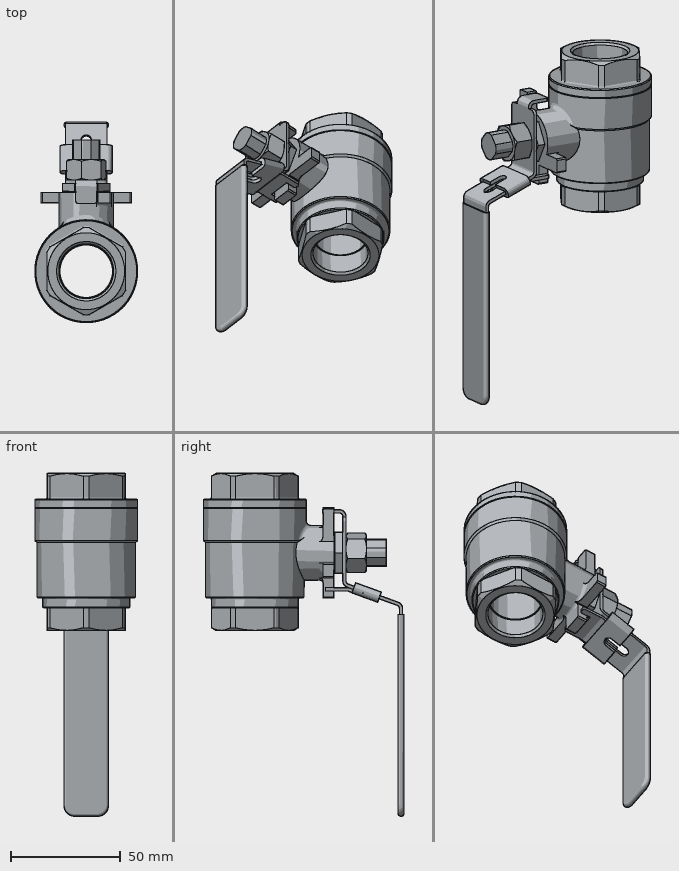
import cadquery as cq
import math


top_z = 36.3
bottom_z = -35.5
hex_flats = 35.7
hex_corner_dia = 39.8
hex_end_dia = 35.0
hex_end_slope = 30
flange_dia = 47
flange_top_z = 24.5
flange_bottom_z = 5.6
barrel_dia = 45.0
barrel_bottom_z = -20.5
collar_dia = hex_corner_dia
collar_bottom_z = -25.2
seam_z = 20.5
seam_width = 0.5
seam_depth = 0.3
edge_break = 0.5
foot_fillet = 0.8
hex_root_fillet = 0.6
bore_dia = 24.0
socket_dia = 25
socket_depth = 11.3
socket_mouth_dia = 27.0

neck_dia = 25
neck_end_y = 36
neck_blend = 2.0
lug_thickness = 4.9
lug_reach = 20.7
lug_near = 4.7
lug_far = 11.5
lower_lug_width = 9.7
lug_end_bevel = 0.6
lug_root_fillet = 1.5
seat_depth = 7.8
tolerance = 0.02

sheet = 1.5
stem_dia = 12.5
stem_flats = 11.5
stem_end_y = 60.0
gland_gap = 0.5
gland_spigot_dia = 15.6
gland_flats = 18.8
lever_back_y = 40.0
lever_front_y = lever_back_y + sheet
nut_end_y = 50.9
nut_corner_dia = 18.6
nut_turn = 43.5
nut_face_dia = 16.3
nut_bevel = 0.7

lever_width = 19.1
bend_radius = 2.3
arm_slope = 20
hook_width = 9.7
hook_tip_y = 30.8
hook_z = 19.0
hook_tip_radius = 1.4
shoulder_z = 16.3
shoulder_radius = 2.0
plate_y = lever_back_y + sheet / 2
plate_end_z = -14.4
handle_y = 66.7
grip_wall = 0.6
grip_width = lever_width + 2 * grip_wall
grip_thickness = sheet + 2 * grip_wall
grip_top_z = -28.0
grip_bottom_z = top_z - 156.5
grip_corner_radius = 5.0
slot_width = 4.7
slot_length = 12.5
slot_end = 22.4

slide_thickness = 5.0
slide_width = 24.0
slide_length = 12.5
slide_start = 4.5
fork_width = 16.0
fork_gap = 10.3
fork_root_y = 37.5
tongue_tip_y = 32.2
tongue_tip_radius = 0.8

arm_dir = (math.cos(math.radians(arm_slope)), -math.sin(math.radians(arm_slope)))


def along_arm(distance, below=0):
    """Point (y, z) on the arm's middle line, measured from the bend; `below` steps off its underside."""
    y = plate_y + distance * arm_dir[0] + below * arm_dir[1]
    z = plate_end_z + distance * arm_dir[1] - below * arm_dir[0]
    return y, z


def cylinder_y(dia, y0, y1):
    return cq.Workplane("XZ", origin=(0, y0, 0)).circle(dia / 2).extrude(y0 - y1)


def hexagon_y(corner_dia, turn, y0, y1):
    """Hexagonal prism along Y; `turn` is the angle of one corner from +X towards +Z."""
    prism = cq.Workplane("XZ", origin=(0, y0, 0)).polygon(6, corner_dia).extrude(y0 - y1)
    return prism.rotate((0, 0, 0), (0, 1, 0), -turn)


def pipe_hexagon(inner_z, end_z):
    """Hexagonal pipe end with turned corners and a bevelled outer end."""
    outward = 1 if end_z > inner_z else -1
    height = abs(end_z - inner_z)
    bevel_run = (hex_corner_dia - hex_end_dia) / 2
    bevel_z = end_z - outward * bevel_run * math.tan(math.radians(hex_end_slope))
    envelope = (
        cq.Workplane("XZ")
        .moveTo(0, inner_z)
        .lineTo(hex_corner_dia / 2, inner_z)
        .lineTo(hex_corner_dia / 2, bevel_z)
        .lineTo(hex_end_dia / 2, end_z)
        .lineTo(0, end_z)
        .close()
        .revolve(360, (0, 0, 0), (0, 1, 0))
    )
    prism = (
        cq.Workplane("XY", origin=(0, 0, inner_z))
        .polygon(6, hex_flats / math.cos(math.radians(30)))
        .extrude(outward * height)
        .rotate((0, 0, 0), (0, 0, 1), 30)
    )
    return prism.intersect(envelope)


def barrel():
    """Turned flange, barrel and collar."""
    flange_r = flange_dia / 2
    barrel_r = barrel_dia / 2
    collar_r = collar_dia / 2
    return (
        cq.Workplane("XZ")
        .moveTo(0, flange_top_z)
        .lineTo(flange_r - edge_break, flange_top_z)
        .lineTo(flange_r, flange_top_z - edge_break)
        .lineTo(flange_r, seam_z + seam_width / 2)
        .lineTo(flange_r - seam_depth, seam_z)
        .lineTo(flange_r, seam_z - seam_width / 2)
        .lineTo(flange_r, flange_bottom_z)
        .lineTo(barrel_r, flange_bottom_z - (flange_r - barrel_r))
        .lineTo(barrel_r, barrel_bottom_z + edge_break)
        .lineTo(barrel_r - edge_break, barrel_bottom_z)
        .lineTo(collar_r + foot_fillet, barrel_bottom_z)
        .tangentArcPoint((collar_r, barrel_bottom_z - foot_fillet), relative=False)
        .lineTo(collar_r, collar_bottom_z + edge_break)
        .lineTo(collar_r - edge_break, collar_bottom_z)
        .lineTo(0, collar_bottom_z)
        .close()
        .revolve(360, (0, 0, 0), (0, 1, 0))
    )


def lug(width, offset, turn):
    """Stop lug on the neck, offset sideways and turned about the stem axis from the +Z position."""
    block = (
        cq.Workplane("XY")
        .box(width, lug_thickness, lug_reach, centered=(True, False, False))
        .edges("|Y and >Z")
        .chamfer(lug_end_bevel)
        .translate((offset, neck_end_y - lug_thickness, 0))
    )
    return block.rotate((0, 0, 0), (0, 1, 0), turn)


def bores():
    """Through bore with a wider socket and a bevelled mouth at each end."""
    mouth = (socket_mouth_dia - socket_dia) / 2
    cut = cq.Workplane("XY", origin=(0, 0, bottom_z)).circle(bore_dia / 2).extrude(top_z - bottom_z)
    for end_z, inward in ((top_z, -1), (bottom_z, 1)):
        socket = (
            cq.Workplane("XZ")
            .moveTo(0, end_z)
            .lineTo(socket_mouth_dia / 2, end_z)
            .lineTo(socket_dia / 2, end_z + inward * mouth)
            .lineTo(socket_dia / 2, end_z + inward * socket_depth)
            .lineTo(0, end_z + inward * socket_depth)
            .close()
            .revolve(360, (0, 0, 0), (0, 1, 0))
        )
        cut = cut.union(socket)
    return cut


def is_lug_root(edge):
    """True for the edges where the inner faces of the lugs meet the neck."""
    return edge.geomType() == "CIRCLE" and abs(edge.Center().y - (neck_end_y - lug_thickness)) < tolerance


def is_neck_root(edge):
    """True for the curve where the neck runs into the flange."""
    return edge.geomType() not in ("LINE", "CIRCLE") and edge.Center().z > flange_bottom_z


def is_hex_root(edge):
    """True for the edges around the foot of the upper hexagon, on top of the flange."""
    box = edge.BoundingBox()
    on_flange_top = abs(box.zmin - flange_top_z) < tolerance and box.zlen < tolerance
    return on_flange_top and max(box.xlen, box.ylen) < hex_flats


def make_housing():
    body = barrel().union(cylinder_y(neck_dia, 0, neck_end_y))
    neck_roots = [edge for edge in body.edges().vals() if is_neck_root(edge)]
    body = body.newObject(neck_roots).fillet(neck_blend)
    side_width = lug_far - lug_near
    side_offset = (lug_near + lug_far) / 2
    left_lug = lug(side_width, side_offset, -90)
    lugs = (
        lug(side_width, side_offset, 0),
        lug(lower_lug_width, 0, 180),
        left_lug.mirror("XY"),
        left_lug.mirror("XY").mirror("YZ"),
    )
    for stop in lugs:
        body = body.union(stop)
    lug_roots = [edge for edge in body.edges().vals() if is_lug_root(edge)]
    body = body.newObject(lug_roots).fillet(lug_root_fillet)
    for inner_z, end_z in ((flange_top_z, top_z), (collar_bottom_z, bottom_z)):
        body = body.union(pipe_hexagon(inner_z, end_z))
    hex_roots = [edge for edge in body.edges().vals() if is_hex_root(edge)]
    body = body.newObject(hex_roots).fillet(hex_root_fillet)
    return body.cut(bores()).cut(cylinder_y(stem_dia, neck_end_y - seat_depth, neck_end_y))


def make_stem():
    """Stem with its gland below the lever and its nut above it."""
    stem = cylinder_y(stem_dia, neck_end_y - seat_depth, nut_end_y)
    square = (
        cq.Workplane("XZ", origin=(0, nut_end_y, 0))
        .rect(stem_flats, stem_flats)
        .extrude(nut_end_y - stem_end_y)
        .rotate((0, 0, 0), (0, 1, 0), 45)
        .intersect(cylinder_y(stem_dia, nut_end_y, stem_end_y))
    )
    spigot = cylinder_y(gland_spigot_dia, neck_end_y, neck_end_y + gland_gap)
    gland = hexagon_y(gland_flats / math.cos(math.radians(30)), 0, neck_end_y + gland_gap, lever_back_y)
    nut_round = cylinder_y(nut_corner_dia, lever_front_y, nut_end_y).faces("<Y or >Y").chamfer(
        nut_bevel, (nut_corner_dia - nut_face_dia) / 2
    )
    nut = hexagon_y(nut_corner_dia, nut_turn, lever_front_y, nut_end_y).intersect(nut_round)
    return stem.union(square).union(spigot).union(gland).union(nut)


def bent_strip(corners, width):
    """Sheet strip of the given width that follows (y, z) corners with rounded bends."""
    path = cq.Workplane("YZ").moveTo(*corners[0])
    for before, corner, after in zip(corners, corners[1:], corners[2:]):
        to_before = cq.Vector(*before).sub(cq.Vector(*corner)).normalized()
        to_after = cq.Vector(*after).sub(cq.Vector(*corner)).normalized()
        setback = bend_radius / math.tan(to_before.getAngle(to_after) / 2)
        start = cq.Vector(*corner).add(to_before.multiply(setback))
        end = cq.Vector(*corner).add(to_after.multiply(setback))
        path = path.lineTo(start.x, start.y).tangentArcPoint((end.x, end.y), relative=False)
    path = path.lineTo(*corners[-1])
    section = cq.Workplane("XZ", origin=(0, *corners[0])).rect(width, sheet)
    return section.sweep(path)


def across_arm(distance, below=0):
    """Work plane square to the arm, with local x along X, at a distance along the arm."""
    y, z = along_arm(distance, below)
    return cq.Workplane(cq.Plane(origin=(0, y, z), xDir=(1, 0, 0), normal=(0, *arm_dir)))


def arm_slot():
    """Round-ended padlock slot along the arm, square through it."""
    y, z = along_arm(slot_end - slot_length / 2)
    plane = cq.Plane(origin=(0, y, z), xDir=(0, *arm_dir), normal=(0, -arm_dir[1], arm_dir[0]))
    return cq.Workplane(plane).slot2D(slot_length, slot_width).extrude(slide_thickness, both=True)


def grip():
    """Flat grip whose sides and lower end are fully rounded."""
    edge_radius = grip_thickness / 2
    bend = grip_corner_radius - edge_radius
    side_x = grip_width / 2 - edge_radius
    low_z = grip_bottom_z + edge_radius
    rim_path = (
        cq.Workplane("XZ", origin=(0, handle_y, 0))
        .moveTo(-side_x, grip_top_z)
        .lineTo(-side_x, low_z + bend)
        .tangentArcPoint((bend - side_x, low_z), relative=False)
        .lineTo(side_x - bend, low_z)
        .tangentArcPoint((side_x, low_z + bend), relative=False)
        .lineTo(side_x, grip_top_z)
    )
    rim = cq.Workplane("XY", origin=(-side_x, handle_y, grip_top_z)).circle(edge_radius).sweep(rim_path)
    core = (
        cq.Workplane("XY", origin=(0, handle_y, low_z))
        .box(2 * side_x, grip_thickness, grip_top_z - low_z, centered=(True, True, False))
        .edges("|Y and <Z")
        .fillet(bend)
    )
    return core.union(rim)


def make_lever():
    """Sheet lever: hook over the neck, clamped plate, sloping arm and handle with a thick grip."""
    arm_length = (handle_y - plate_y) / arm_dir[0]
    corners = [
        (hook_tip_y, hook_z),
        (plate_y, hook_z),
        (plate_y, plate_end_z),
        along_arm(arm_length),
        (handle_y, grip_top_z),
    ]
    lever = bent_strip(corners, lever_width)
    for side in (-1, 1):
        beside_hook = cq.Workplane("XY").box(
            (lever_width - hook_width) / 2, lever_front_y - hook_tip_y, hook_z + sheet - shoulder_z,
            centered=(True, False, False),
        )
        lever = lever.cut(
            beside_hook.translate((side * (lever_width + hook_width) / 4, hook_tip_y, shoulder_z))
        )
        corner = cq.Workplane("XY").box(shoulder_radius, sheet, shoulder_radius)
        corner = corner.translate(
            (side * (lever_width - shoulder_radius) / 2, plate_y, shoulder_z - shoulder_radius / 2)
        )
        rounding = cylinder_y(2 * shoulder_radius, lever_back_y, lever_front_y).translate(
            (side * (lever_width / 2 - shoulder_radius), 0, shoulder_z - shoulder_radius)
        )
        lever = lever.cut(corner.cut(rounding))
    lever = lever.faces("<Y").edges("|Z").fillet(hook_tip_radius)
    stem_hole = cylinder_y(stem_dia, lever_back_y, lever_front_y)
    return lever.union(grip()).cut(stem_hole).cut(arm_slot())


def make_lock():
    """Slide around the arm, with a forked tongue that straddles the lower lug."""
    sleeve = across_arm(slide_start).slot2D(slide_width, slide_thickness).extrude(slide_length)
    arm_passage = across_arm(slide_start).rect(lever_width, sheet).extrude(slide_length)
    bend = along_arm(2.3, below=sheet)
    tongue_path = [(tongue_tip_y, bend[1]), bend, along_arm(slide_start + slide_length, below=sheet)]
    tongue = bent_strip(tongue_path, fork_width)
    gap = cq.Workplane("XY").box(fork_gap, fork_root_y - tongue_tip_y, 2 * sheet, centered=(True, False, True))
    tongue = tongue.cut(gap.translate((0, tongue_tip_y, bend[1])))
    tongue = tongue.faces("<Y").edges("|Z").fillet(tongue_tip_radius)
    return sleeve.cut(arm_passage).union(tongue).cut(arm_slot())


housing = make_housing()
stem = make_stem()
lever = make_lever()
lock = make_lock()

result = cq.Compound.makeCompound([housing.val(), stem.val(), lever.val(), lock.val()])